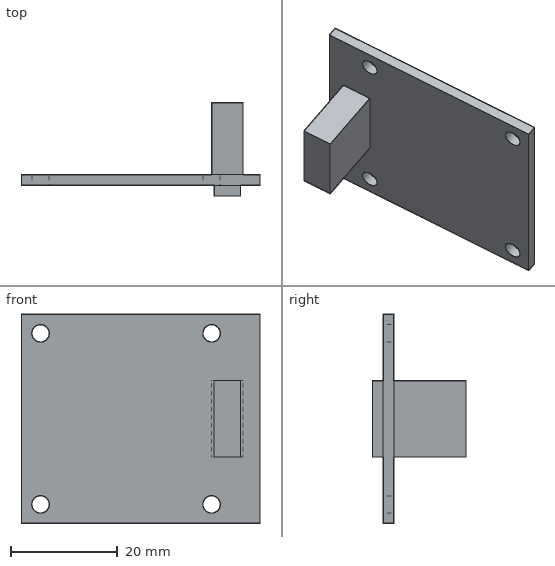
import cadquery as cq

plate_width = 44.6
plate_height = 39.1
plate_thickness = 2.0

hole_diameter = 3.2
hole_spacing = 32.0
hole_edge_offset = (plate_height - hole_spacing) / 2

connector_edge_distance = 6.1
connector_height = 14.25
front_block_width = 4.95
front_block_depth = 2.0
rear_block_width = 5.9
rear_block_depth = 13.45

hole_pattern_x = -plate_width / 2 + hole_edge_offset + hole_spacing / 2
connector_x = plate_width / 2 - connector_edge_distance


def make_plate():
    """Plate with the through holes, offset towards the -X edge."""
    plate = cq.Workplane("XY").box(
        plate_width, plate_thickness, plate_height, centered=(True, False, True)
    )
    holes = (
        cq.Workplane("XZ")
        .center(hole_pattern_x, 0)
        .rect(hole_spacing, hole_spacing, forConstruction=True)
        .vertices()
        .circle(hole_diameter / 2)
        .extrude(-plate_thickness)
    )
    return plate.cut(holes)


def connector_block(width, depth, start_y):
    """Rectangular block on the connector centre line, running from start_y to +Y."""
    return (
        cq.Workplane("XY")
        .box(width, depth, connector_height, centered=(True, False, True))
        .translate((connector_x, start_y, 0))
    )


front_block = connector_block(front_block_width, front_block_depth, -front_block_depth)
rear_block = connector_block(rear_block_width, rear_block_depth, plate_thickness)

result = make_plate().union(front_block).union(rear_block)